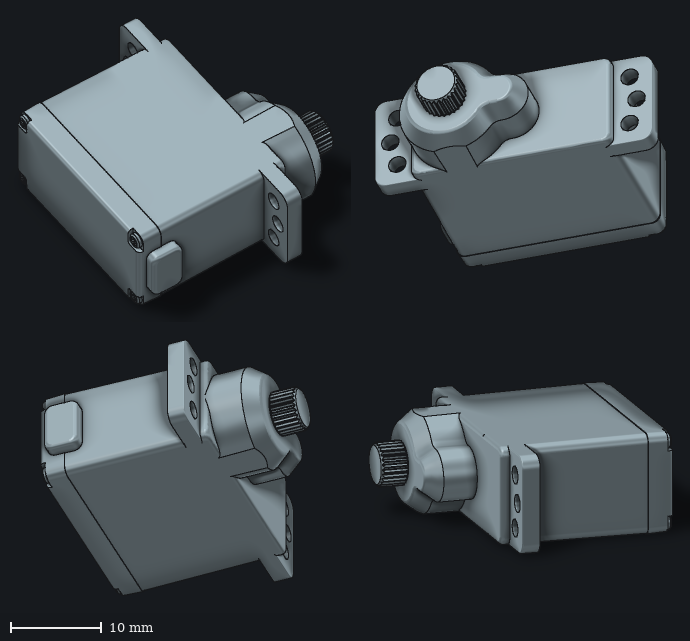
import cadquery as cq
import math


SEAM_Y = 3.0
EAR_BOTTOM_Y = 17.0
EAR_TOP_Y = 19.05
CASE_TOP_Y = 20.1
CONE_START_Y = 23.97
HOUSING_TOP_Y = 25.85
SHAFT_TOP_Y = 29.0

CASE_LENGTH = 23.3
CASE_WIDTH = 11.23
CASE_SWELL = 0.13
CASE_CORNER_RADIUS = 1.05
CASE_TOP_FILLET = 0.5

CAP_LENGTH = 23.68
CAP_WIDTH = 11.6
CAP_TAPER = 0.1
CAP_EDGE_FILLET = 0.55

SCREW_X = 10.65
SCREW_Z = 4.65
SCREW_RADIUS = 0.87
SCREW_CHAMFER = 0.2
SCREW_TOP_Y = 0.13
RECESS_DEPTH = 0.25
RECESS_SPAN = 1.1
RECESS_ARM = 0.32
POCKET_INNER_X = 9.75
POCKET_INNER_Z = 3.75
POCKET_DEPTH = 0.68
POCKET_CORNER_RADIUS = 0.4

EAR_SPAN = 32.35
EAR_CORNER_RADIUS = 1.42
EAR_EDGE_FILLET = 0.15
EAR_HOLE_DIAMETER = 2.0
MIDDLE_HOLE_X = 14.3
OUTER_HOLE_X = 13.5
OUTER_HOLE_Z = 3.05

SHAFT_X = 5.75
SMALL_ROUND_X = -0.32
LARGE_RADIUS = CASE_LENGTH / 2 - SHAFT_X
SMALL_RADIUS = 3.0
HOUSING_BLEND_RADIUS = 1.5
CONE_INSET = 1.35
HOUSING_TOP_FILLET = 0.5

SHAFT_RADIUS = 2.52
SHAFT_ROOT_RADIUS = 2.33
SHAFT_CHAMFER = 0.32
SHAFT_NECK = 0.1
TOOTH_COUNT = 26
TOOTH_FLAT_SHARE = 0.15

OUTLET_END_X = 13.2
OUTLET_LOW_Y = 1.05
OUTLET_HIGH_Y = 5.1
OUTLET_WIDTH = 6.18
OUTLET_CORNER_RADIUS = 1.0
OUTLET_EDGE_FILLET = 0.52


def plane_at(y):
    """Sketch plane at height y: local x is X, local y is Z, extrusion goes towards -Y."""
    return cq.Workplane("XZ", origin=(0, y, 0))


def rounded_rectangle(length, width, radius):
    return cq.Sketch().rect(length, width).vertices().fillet(radius)


def tapered_block(y_start, y_end, length, width, growth):
    """Rounded block from y_start down to y_end whose walls move outwards by growth."""
    start = rounded_rectangle(length, width, CASE_CORNER_RADIUS)
    end = rounded_rectangle(length + 2 * growth, width + 2 * growth, CASE_CORNER_RADIUS)
    height = y_start - y_end
    return plane_at(y_start).placeSketch(start, end.moved(cq.Location(cq.Vector(0, 0, height)))).loft()


def make_case():
    case = tapered_block(CASE_TOP_Y, SEAM_Y, CASE_LENGTH, CASE_WIDTH, CASE_SWELL)
    return case.faces(">Y").edges().fillet(CASE_TOP_FILLET)


def make_side_envelope():
    """Wedge between the two leaning side planes shared by the case, ears and gear housing."""
    lean = CASE_SWELL / (CASE_TOP_Y - SEAM_Y)
    seam_half = CASE_WIDTH / 2 + CASE_SWELL
    top_half = CASE_WIDTH / 2 - lean * (HOUSING_TOP_Y - CASE_TOP_Y)
    profile = [
        (SEAM_Y, -seam_half),
        (HOUSING_TOP_Y, -top_half),
        (HOUSING_TOP_Y, top_half),
        (SEAM_Y, seam_half),
    ]
    return cq.Workplane("YZ").polyline(profile).close().extrude(EAR_SPAN / 2, both=True)


def make_cap():
    cap = tapered_block(SEAM_Y, 0, CAP_LENGTH, CAP_WIDTH, -CAP_TAPER)
    return cap.faces("<Y").edges().fillet(CAP_EDGE_FILLET)


def make_screw_pocket():
    """Pocket at the +X +Z corner of the cap, open to both side walls."""
    length = CAP_LENGTH / 2 - POCKET_INNER_X
    width = CAP_WIDTH / 2 - POCKET_INNER_Z
    pocket = cq.Workplane("XY").box(length, POCKET_DEPTH, width, centered=False)
    pocket = pocket.translate((POCKET_INNER_X, 0, POCKET_INNER_Z))
    return pocket.edges("|Y and <X and <Z").fillet(POCKET_CORNER_RADIUS)


def make_screw():
    """Cross-recess screw head standing on the floor of the +X +Z pocket."""
    center = (SCREW_X, SCREW_Z)
    head = plane_at(POCKET_DEPTH).center(*center).circle(SCREW_RADIUS).extrude(POCKET_DEPTH - SCREW_TOP_Y)
    head = head.faces("<Y").chamfer(SCREW_CHAMFER)
    recess_plane = plane_at(SCREW_TOP_Y + RECESS_DEPTH).center(*center)
    for size in ((RECESS_SPAN, RECESS_ARM), (RECESS_ARM, RECESS_SPAN)):
        head = head.cut(recess_plane.rect(*size).extrude(RECESS_DEPTH))
    return head


def at_four_corners(corner):
    """Mirror a +X +Z corner feature to all four corners."""
    pair = corner.union(corner.mirror("YZ"))
    return pair.union(pair.mirror("XY"))


def make_ears():
    plate = plane_at(EAR_TOP_Y).rect(EAR_SPAN, CAP_WIDTH).extrude(EAR_TOP_Y - EAR_BOTTOM_Y)
    plate = plate.intersect(make_side_envelope())
    plate = plate.faces("<X or >X").edges("not |Z").fillet(EAR_CORNER_RADIUS)
    return plate.faces(">Y").edges().fillet(EAR_EDGE_FILLET)


def make_ear_holes():
    centers = []
    for side in (-1, 1):
        centers.append((side * MIDDLE_HOLE_X, 0))
        centers.append((side * OUTER_HOLE_X, OUTER_HOLE_Z))
        centers.append((side * OUTER_HOLE_X, -OUTER_HOLE_Z))
    holes = plane_at(EAR_TOP_Y).pushPoints(centers).circle(EAR_HOLE_DIAMETER / 2)
    return holes.extrude(EAR_TOP_Y - EAR_BOTTOM_Y)


def housing_wire(y, inset):
    """Outline of the two rounds, joined by concave arcs tangent to the large round."""
    large = LARGE_RADIUS - inset
    small = SMALL_RADIUS - inset
    blend_z = small + HOUSING_BLEND_RADIUS
    blend_x = SHAFT_X - math.sqrt((large + HOUSING_BLEND_RADIUS) ** 2 - blend_z**2)
    angle = math.atan2(blend_z, blend_x - SHAFT_X)
    touch = (SHAFT_X + large * math.cos(angle), large * math.sin(angle))
    middle_angle = angle / 2 - 3 * math.pi / 4
    middle = (
        blend_x + HOUSING_BLEND_RADIUS * math.cos(middle_angle),
        blend_z + HOUSING_BLEND_RADIUS * math.sin(middle_angle),
    )
    outline = (
        plane_at(y)
        .moveTo(SMALL_ROUND_X, small)
        .lineTo(blend_x, small)
        .threePointArc(middle, touch)
        .threePointArc((SHAFT_X + large, 0), (touch[0], -touch[1]))
        .threePointArc((middle[0], -middle[1]), (blend_x, -small))
        .lineTo(SMALL_ROUND_X, -small)
        .threePointArc((SMALL_ROUND_X - small, 0), (SMALL_ROUND_X, small))
        .close()
    )
    return outline.val()


def make_housing():
    base_y = CASE_TOP_Y - CASE_TOP_FILLET
    base = housing_wire(CONE_START_Y, 0)
    top = housing_wire(HOUSING_TOP_Y, CONE_INSET)
    wall = cq.Workplane(cq.Solid.extrudeLinear(base, [], cq.Vector(0, base_y - CONE_START_Y, 0)))
    cone = cq.Workplane(cq.Solid.makeLoft([base, top], True))
    cone = cone.faces(">Y").edges().fillet(HOUSING_TOP_FILLET)
    return wall.union(cone).intersect(make_side_envelope())


def make_shaft():
    """Splined shaft with straight-sided teeth and a short plain neck."""
    pitch = 2 * math.pi / TOOTH_COUNT
    half_flat = TOOTH_FLAT_SHARE * pitch / 2
    tooth = (
        (SHAFT_ROOT_RADIUS, half_flat),
        (SHAFT_RADIUS, pitch / 2 - half_flat),
        (SHAFT_RADIUS, pitch / 2 + half_flat),
        (SHAFT_ROOT_RADIUS, pitch - half_flat),
    )
    points = []
    for index in range(TOOTH_COUNT):
        for radius, offset in tooth:
            angle = index * pitch + offset
            points.append((radius * math.cos(angle), radius * math.sin(angle)))
    length = SHAFT_TOP_Y - HOUSING_TOP_Y
    shaft_plane = plane_at(SHAFT_TOP_Y).center(SHAFT_X, 0)
    teeth = shaft_plane.polyline(points).close().extrude(length - SHAFT_NECK)
    envelope = shaft_plane.circle(SHAFT_RADIUS).extrude(length)
    teeth = teeth.intersect(envelope.faces(">Y").chamfer(SHAFT_CHAMFER))
    neck = plane_at(HOUSING_TOP_Y + SHAFT_NECK).center(SHAFT_X, 0).circle(SHAFT_ROOT_RADIUS)
    return teeth.union(neck.extrude(2 * SHAFT_NECK))


def make_outlet():
    start_x = CASE_LENGTH / 2 - OUTLET_CORNER_RADIUS
    middle_y = (OUTLET_LOW_Y + OUTLET_HIGH_Y) / 2
    outline = rounded_rectangle(OUTLET_HIGH_Y - OUTLET_LOW_Y, OUTLET_WIDTH, OUTLET_CORNER_RADIUS)
    outlet = cq.Workplane("YZ", origin=(start_x, middle_y, 0)).placeSketch(outline)
    outlet = outlet.extrude(OUTLET_END_X - start_x)
    return outlet.faces(">X").edges().fillet(OUTLET_EDGE_FILLET)


cap = make_cap().cut(at_four_corners(make_screw_pocket())).union(at_four_corners(make_screw()))
body = make_case().union(make_ears()).union(make_housing()).union(make_shaft())
result = body.union(cap).union(make_outlet()).cut(make_ear_holes())